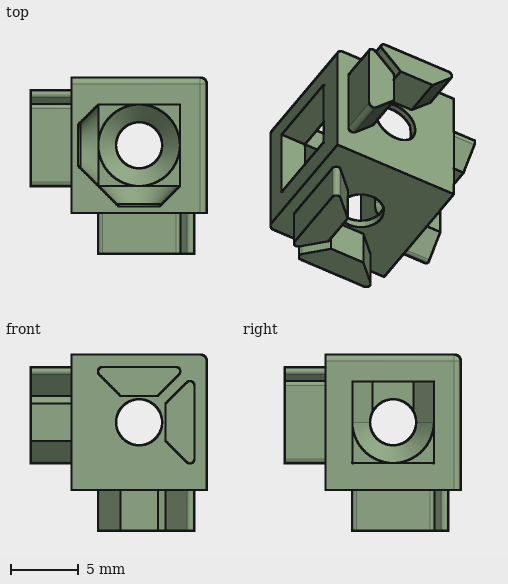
import cadquery as cq

overall = 13.0
tab_length = 3.0
cube_side = overall - tab_length
half_cube = cube_side / 2
edge_radius = 0.5

opening_side = 6.0
half_opening = opening_side / 2
notch_depth = 1.5
notch_reach = half_opening + notch_depth
notch_half_width = half_opening - notch_depth

hole_radius = 1.69
countersink_depth = half_opening - hole_radius

tab_inner = 1.95
tab_outer = 4.07
tab_inner_half_width = 1.38
tab_outer_half_width = tab_inner_half_width + tab_outer - tab_inner
tab_corner_radius = 0.32


def on_each_axis(shape):
    """Return copies of a Z-axis feature turned about the cube diagonal onto Z, X and Y."""
    return [shape.rotate((0, 0, 0), (1, 1, 1), angle) for angle in (0, 120, 240)]


def make_cube():
    """Cube with the three edges that meet at its +X +Y +Z corner rounded."""
    cube = cq.Workplane("XY").box(cube_side, cube_side, cube_side)
    rounded_edges = cube.edges(">X and >Y").add(cube.edges(">X and >Z")).add(cube.edges(">Y and >Z"))
    return rounded_edges.fillet(edge_radius)


def make_opening():
    """Square opening from the cube centre out through +Z."""
    return cq.Workplane("XY").rect(opening_side, opening_side).extrude(half_cube)


def make_notches():
    """Clearance above the -X and -Y countersinks, from mid-height up through the top."""
    outline = [
        (half_opening, half_opening),
        (-half_opening, half_opening),
        (-notch_reach, notch_half_width),
        (-notch_reach, -notch_half_width),
        (-notch_half_width, -notch_reach),
        (notch_half_width, -notch_reach),
        (half_opening, -half_opening),
    ]
    return cq.Workplane("XY").polyline(outline).close().extrude(half_cube)


def make_screw_hole():
    """Countersunk hole through the -Z wall, as a body of revolution."""
    return (
        cq.Workplane("XZ")
        .moveTo(0, -half_opening)
        .lineTo(half_opening, -half_opening)
        .lineTo(hole_radius, -half_opening - countersink_depth)
        .lineTo(hole_radius, -half_cube)
        .lineTo(0, -half_cube)
        .close()
        .revolve(360, (0, 0, 0), (0, 1, 0))
    )


def make_tab():
    """Dovetail tab below the -Z wall, on the +X side of the screw hole."""
    outline = [
        (tab_inner, -tab_inner_half_width),
        (tab_outer, -tab_outer_half_width),
        (tab_outer, tab_outer_half_width),
        (tab_inner, tab_inner_half_width),
    ]
    tab = cq.Workplane("XY").workplane(offset=-half_cube).polyline(outline).close().extrude(-tab_length)
    return tab.edges("|Z and >X").fillet(tab_corner_radius)


result = make_cube().cut(cq.Workplane("XY").box(opening_side, opening_side, opening_side))

for opening in on_each_axis(make_opening()):
    result = result.cut(opening)

result = result.cut(make_notches())

for screw_hole in on_each_axis(make_screw_hole()):
    result = result.cut(screw_hole)

x_side_tab = make_tab()
y_side_tab = x_side_tab.rotate((0, 0, 0), (0, 0, 1), 90)
for tab in on_each_axis(x_side_tab) + on_each_axis(y_side_tab):
    result = result.union(tab)